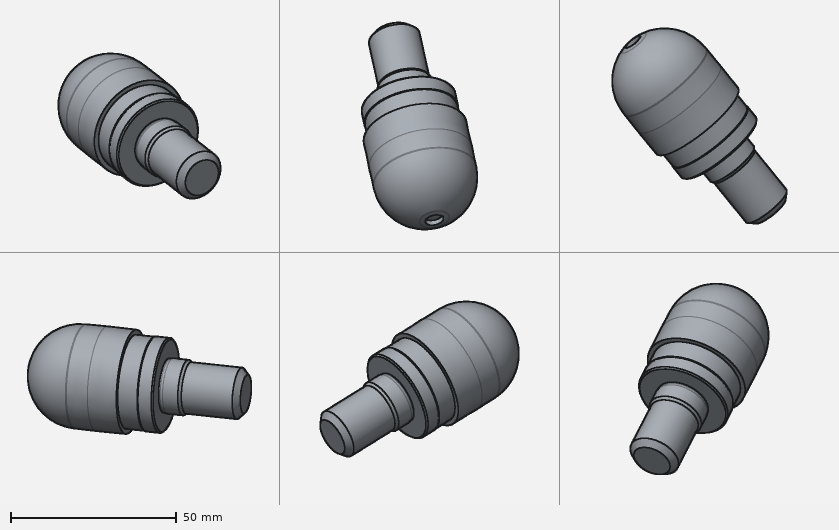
import cadquery as cq
import math

TOTAL_LENGTH = 67.9

HEAD_RADIUS = 31.9 / 2
SKIRT_DRAFT = 0.1
DOME_RADIUS = HEAD_RADIUS - SKIRT_DRAFT
SKIRT_START_X = 15.95
PARTING_LINE_X = 22.6
HEAD_END_X = 31.8
NECK_RADIUS = 28.7 / 2
NECK_CHAMFER = 0.2
NOSE_HOLE_RADIUS = 2.8
NOSE_HOLE_DEPTH = 1.7
NOSE_CONE_RADIUS = 4.55

FLANGE_START_X = 38.1
FLANGE_END_X = 42.85
FLANGE_RADIUS = 29.0 / 2
FLANGE_CHAMFER = 0.5
UNDERCUT_RADIUS = 16.6 / 2
UNDERCUT_LENGTH = 0.4
COLLAR_START_X = 44.1
COLLAR_END_X = 48.95
COLLAR_RADIUS = 17.0 / 2
SHANK_START_X = 49.9
SHANK_RADIUS = 15.75 / 2
SHANK_CHAMFER = 2.0


def revolve_about_x(profile):
    """Close a half profile drawn in the XY plane and turn it about the X axis."""
    return profile.close().revolve(360, (0, 0, 0), (1, 0, 0))


def make_bumper():
    dome_center_x = math.sqrt(DOME_RADIUS**2 - NOSE_HOLE_RADIUS**2)
    cone_angle = math.asin(NOSE_CONE_RADIUS / DOME_RADIUS)

    def dome_point(angle):
        """Point on the dome at an angle from the nose direction."""
        return (dome_center_x - DOME_RADIUS * math.cos(angle), DOME_RADIUS * math.sin(angle))

    profile = (
        cq.Workplane("XY")
        .moveTo(NOSE_HOLE_DEPTH, 0)
        .lineTo(NOSE_HOLE_DEPTH, NOSE_HOLE_RADIUS)
        .lineTo(0, NOSE_HOLE_RADIUS)
        .lineTo(*dome_point(cone_angle))
        .threePointArc(dome_point((cone_angle + math.pi / 2) / 2), (dome_center_x, DOME_RADIUS))
        .lineTo(SKIRT_START_X, DOME_RADIUS)
        .lineTo(PARTING_LINE_X, HEAD_RADIUS)
        .lineTo(HEAD_END_X, HEAD_RADIUS - SKIRT_DRAFT)
        .lineTo(HEAD_END_X, NECK_RADIUS)
        .lineTo(FLANGE_START_X - NECK_CHAMFER, NECK_RADIUS)
        .lineTo(FLANGE_START_X, NECK_RADIUS - NECK_CHAMFER)
        .lineTo(FLANGE_START_X, 0)
    )
    return revolve_about_x(profile)


def make_stud():
    profile = (
        cq.Workplane("XY")
        .moveTo(FLANGE_START_X, 0)
        .lineTo(FLANGE_START_X, FLANGE_RADIUS)
        .lineTo(FLANGE_END_X - FLANGE_CHAMFER, FLANGE_RADIUS)
        .lineTo(FLANGE_END_X, FLANGE_RADIUS - FLANGE_CHAMFER)
        .lineTo(FLANGE_END_X, UNDERCUT_RADIUS)
        .lineTo(FLANGE_END_X + UNDERCUT_LENGTH, UNDERCUT_RADIUS)
        .lineTo(COLLAR_START_X, COLLAR_RADIUS)
        .lineTo(COLLAR_END_X, COLLAR_RADIUS)
        .lineTo(SHANK_START_X, SHANK_RADIUS)
        .lineTo(TOTAL_LENGTH - SHANK_CHAMFER, SHANK_RADIUS)
        .lineTo(TOTAL_LENGTH, SHANK_RADIUS - SHANK_CHAMFER)
        .lineTo(TOTAL_LENGTH, 0)
    )
    return revolve_about_x(profile)


bumper = make_bumper()
stud = make_stud()

result = cq.Compound.makeCompound([bumper.val(), stud.val()])